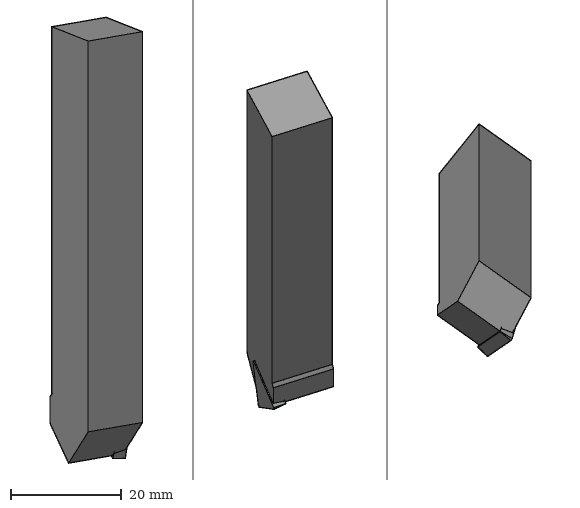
import cadquery as cq
import math

shank_width = 11.95
shank_depth = 11.8
total_height = 81.35

head_overhang = 0.6
step_top_z = 12.6
step_bottom_z = 11.95
head_left_z = 7.0
head_right_z = 8.2
point_z = 0.9

insert_thickness = 2.5
insert_proud = 0.25
insert_relief = 7.0
edge_length = 9.9
corner_flat = 0.4
insert_left_x = -1.5
insert_edge_angle = -45.0
side_turn = 60.0


def make_shank():
    """Bar with a small sloped step and a pointed lower end."""
    point_x = head_left_z - point_z - head_overhang
    outline = [
        (0, total_height),
        (shank_width, total_height),
        (shank_width, head_right_z),
        (point_x, point_z),
        (-head_overhang, head_left_z),
        (-head_overhang, step_bottom_z),
        (0, step_top_z),
    ]
    return cq.Workplane("XZ").polyline(outline).close().extrude(-shank_depth)


def insert_outline():
    """Walk around the plate: three cutting edges, each followed by a corner flat."""
    x = insert_left_x
    z = -edge_length * math.sin(math.radians(insert_edge_angle))
    heading = insert_edge_angle
    points = []
    for _ in range(3):
        for length in (edge_length, corner_flat):
            points.append((x, z))
            x += length * math.cos(math.radians(heading))
            z += length * math.sin(math.radians(heading))
            heading += side_turn
    return points


def make_insert():
    """Plate that narrows from its cutting face at the back toward its seat."""
    cutting_face_y = shank_depth + insert_proud
    return (
        cq.Workplane("XZ", origin=(0, cutting_face_y, 0))
        .polyline(insert_outline())
        .close()
        .extrude(insert_thickness, taper=insert_relief)
    )


insert = make_insert()

shank = make_shank().cut(insert)

result = cq.Compound.makeCompound([shank.solids().val(), insert.val()])